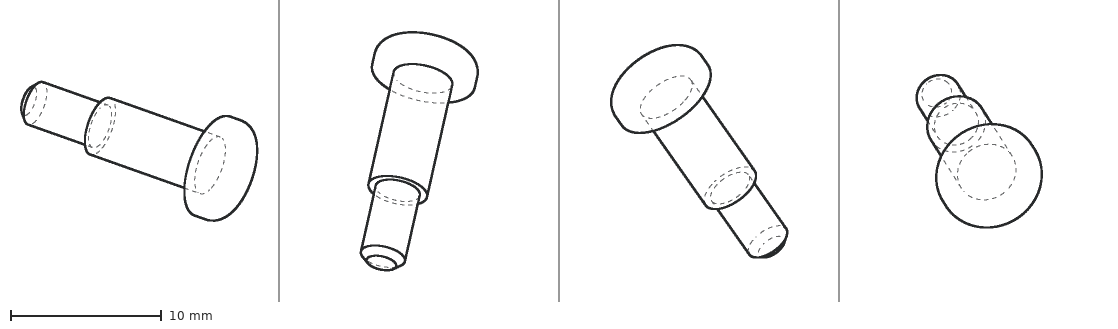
import cadquery as cq

total_length = 16.0
head_diameter = 7.0
head_thickness = 2.0
head_crown_radius = 1.0
head_under_radius = 0.2
shoulder_diameter = 4.0
pin_diameter = 3.0
pin_length = 5.5
tip_chamfer = 0.5

shoulder_length = total_length - pin_length - head_thickness


def cylinder_along_x(start, length, diameter):
    return cq.Workplane("YZ").workplane(offset=start).circle(diameter / 2).extrude(length)


pin = cylinder_along_x(0, pin_length, pin_diameter).faces("<X").edges().chamfer(tip_chamfer)

shoulder = cylinder_along_x(pin_length, shoulder_length, shoulder_diameter)

head = cylinder_along_x(pin_length + shoulder_length, head_thickness, head_diameter)
head = head.faces(">X").edges().fillet(head_crown_radius)
head = head.faces("<X").edges().fillet(head_under_radius)

result = pin.union(shoulder).union(head)